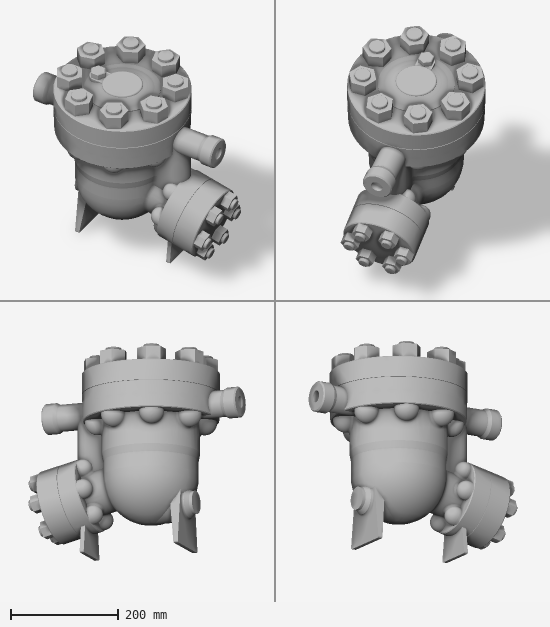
import cadquery as cq
import math

stud_top_z = 371.0
nut_top_z = 364.5
cover_top_z = 338.5
cover_joint_z = 298.0
flange_bottom_z = 247.0
neck_bottom_z = 185.0
barrel_top_z = 170.7
nozzle_z = 269.5
drain_z = 85.0

flange_radius = 129.0
flange_bottom_radius = 127.5
neck_radius = 91.8
barrel_radius = 89.0
bowl_bottom_z = 50.5
bowl_top_z = 143.5
bowl_depth = bowl_top_z - bowl_bottom_z
body_blend = 6.0
bowl_radius = (barrel_radius**2 + bowl_depth**2) / (2 * bowl_depth)
flange_overlap = 3.7
edge_chamfer = 1.5
joint_gap = 1.2
joint_depth = 1.5

bolt_count = 8
bolt_circle_radius = 100.0
first_bolt_angle = 180 / bolt_count
nut_across_flats = 46.7
stud_diameter = 30.0
stud_chamfer = 1.2
bolt_boss_radius = 23.0
bolt_boss_straight = 2.0
chamfered_nut_index = 4
chamfered_nut_face_diameter = 48.8
boss_blend = 3.7

crown_step_radius = 72.0
crown_step_height = 1.5
crown_foot_radius = 59.5
crown_foot_height = 2.5
crown_shoulder_radius = 48.0
crown_shoulder_height = 5.5
crown_top_radius = 35.0
crown_top_height = 11.5
crown_top_fillet = 3.5
plug_x = -53.0
plug_pad_radius = 16.5
plug_pad_height = 9.5
plug_across_flats = 26.5
plug_top_z = 360.0
plug_chamfer = 1.2

pipe_radius = 25.2
nozzle_end_radius = 29.0
inlet_end_x = -180.0
outlet_end_x = 210.0
nozzle_collar_length = 23.0
nozzle_cone_length = 7.0
nozzle_chamfer = 2.5
bore_diameter = 22.5
bore_depth = 49.5
riser_x = 120.3

side_dip = 12.7
side_axis_z = 144.0
side_neck_radius = 43.0
side_flange_radius = 71.0
side_flange_start = 123.5
side_joint = 160.5
side_face = 203.8
side_bolt_count = 6
side_first_bolt_angle = 90
side_bolt_circle_radius = 52.5
side_nut_across_flats = 30.5
side_nut_height = 17.0
side_stud_diameter = 21.0
side_stud_length = 23.0
side_boss_radius = 18.0
side_boss_straight = 5.0
side_boss_core_length = 33.0
side_seam_start_x = 62.0

drain_end_x = -91.0
drain_face_radius = 22.0
drain_straight_x = -84.7
drain_cone_radius = 28.5
drain_root_radius = 32.2
drain_hub_radius = 34.5

foot_taper = 15.0
left_foot_half_width = 49.5
right_foot_half_width = 39.5
foot_top_z = 108.5
foot_corner_radius = 3.5
left_foot_x = -73.5
left_foot_bottom_thickness = 8.5
left_foot_slope_z = 77.0
left_foot_top_thickness = 19.0
right_foot_x = 119.5
right_foot_thickness = 8.3


def x_cylinder(radius, start_x, end_x, z):
    """Cylinder along X."""
    plane = cq.Workplane("YZ", origin=(start_x, 0, z))
    return plane.circle(radius).extrude(end_x - start_x)


def hex_nut(across_flats, height, vertex_angle=0.0):
    """Hexagonal prism on the XY plane, with one corner at vertex_angle degrees."""
    across_corners = across_flats / math.cos(math.pi / 6)
    prism = cq.Workplane("XY").polygon(6, across_corners).extrude(height)
    return prism.rotate((0, 0, 0), (0, 0, 1), vertex_angle)


def stud(diameter, height):
    """Round stud end with a chamfered tip."""
    rod = cq.Workplane("XY").circle(diameter / 2).extrude(height)
    return rod.faces(">Z").edges().chamfer(stud_chamfer)


def bolt_boss(radius, straight):
    """Round-ended boss hanging below the XY plane and reaching above it by flange_overlap."""
    low_mid = radius * math.sqrt(0.5)
    return (
        cq.Workplane("XZ")
        .moveTo(0, flange_overlap)
        .lineTo(radius, flange_overlap)
        .lineTo(radius, -straight)
        .threePointArc((low_mid, -straight - low_mid), (0, -straight - radius))
        .close()
        .revolve(360, (0, 0, 0), (0, 1, 0))
    )


def boss_ring(core_radius, core_length, boss, circle_radius, count, first_angle):
    """Ring of bosses blended into a round core below the XY plane."""
    core = cq.Workplane("XY").workplane(offset=-core_length)
    ring = core.circle(core_radius).extrude(core_length + flange_overlap)
    for placed_boss in polar_copies(boss, circle_radius, count, first_angle):
        ring = ring.union(placed_boss)
    tolerance = 0.05
    seams = []
    for edge in ring.edges().vals():
        points = [edge.positionAt(step / 4) for step in range(5)]
        on_core = all(abs(math.hypot(p.x, p.y) - core_radius) < tolerance for p in points)
        lowest = edge.BoundingBox().zmin
        if on_core and tolerance - core_length < lowest < -tolerance:
            seams.append(edge)
    return ring.newObject([ring.val().fillet(boss_blend, seams)])


def polar_copies(item, circle_radius, count, first_angle):
    """Copies of an item spread evenly round Z."""
    moved = item.translate((circle_radius, 0, 0))
    return [moved.rotate((0, 0, 0), (0, 0, 1), first_angle + i * 360 / count) for i in range(count)]


def main_body():
    """Revolved cover, tapered body flange, neck, barrel and round bowl."""
    groove_radius = flange_radius - joint_depth
    bowl_mid = bowl_radius * math.sqrt(0.5)
    return (
        cq.Workplane("XZ")
        .moveTo(0, cover_top_z)
        .lineTo(flange_radius - edge_chamfer, cover_top_z)
        .lineTo(flange_radius, cover_top_z - edge_chamfer)
        .lineTo(flange_radius, cover_joint_z + joint_gap / 2)
        .lineTo(groove_radius, cover_joint_z + joint_gap / 2)
        .lineTo(groove_radius, cover_joint_z - joint_gap / 2)
        .lineTo(flange_radius, cover_joint_z - joint_gap / 2)
        .lineTo(flange_bottom_radius, flange_bottom_z + edge_chamfer)
        .lineTo(flange_bottom_radius - edge_chamfer, flange_bottom_z)
        .lineTo(neck_radius, flange_bottom_z)
        .lineTo(neck_radius, neck_bottom_z)
        .lineTo(barrel_radius, barrel_top_z)
        .lineTo(barrel_radius, bowl_top_z)
        .threePointArc((bowl_mid, bowl_bottom_z + bowl_radius - bowl_mid), (0, bowl_bottom_z))
        .close()
        .revolve(360, (0, 0, 0), (0, 1, 0))
    )


def crown():
    """Raised centre of the cover, with a padded hexagonal plug beside it."""
    dome = (
        cq.Workplane("XZ")
        .moveTo(0, -edge_chamfer)
        .lineTo(crown_step_radius, -edge_chamfer)
        .lineTo(crown_step_radius, crown_step_height)
        .lineTo(crown_foot_radius, crown_foot_height)
        .lineTo(crown_shoulder_radius, crown_shoulder_height)
        .lineTo(crown_top_radius + crown_top_fillet, crown_top_height - crown_top_fillet)
        .radiusArc((crown_top_radius, crown_top_height), -crown_top_fillet)
        .lineTo(0, crown_top_height)
        .close()
        .revolve(360, (0, 0, 0), (0, 1, 0))
        .translate((0, 0, cover_top_z))
    )
    pad_round = cq.Workplane("XY").center(plug_x, 0).circle(plug_pad_radius).extrude(plug_pad_height)
    pad_bar = (
        cq.Workplane("XY").center(plug_x / 2, 0)
        .rect(-plug_x, 2 * plug_pad_radius).extrude(plug_pad_height)
    )
    pad = pad_round.union(pad_bar).translate((0, 0, cover_top_z))
    plug = hex_nut(plug_across_flats, plug_top_z - cover_top_z).faces(">Z").edges().chamfer(plug_chamfer)
    return dome.union(pad).union(plug.translate((plug_x, 0, cover_top_z)))


def main_bolting():
    """Nuts and stud ends on the cover, with round bosses under the body flange."""
    nut_height = nut_top_z - cover_top_z
    nut = hex_nut(nut_across_flats, nut_height, -first_bolt_angle)
    rod = stud(stud_diameter, stud_top_z - cover_top_z)
    corner_radius = nut_across_flats / math.sqrt(3)
    corner_reach = corner_radius - chamfered_nut_face_diameter / 2
    corner_limit = (
        cq.Workplane("XY").circle(corner_radius).extrude(nut_height)
        .faces(">Z").edges().chamfer(corner_reach / 2, corner_reach)
    )
    fasteners = polar_copies(nut.union(rod), bolt_circle_radius, bolt_count, first_bolt_angle)
    chamfered = polar_copies(
        nut.intersect(corner_limit).union(rod), bolt_circle_radius, bolt_count, first_bolt_angle)
    fasteners[chamfered_nut_index] = chamfered[chamfered_nut_index]
    bolting = boss_ring(
        neck_radius, flange_bottom_z - neck_bottom_z, bolt_boss(bolt_boss_radius, bolt_boss_straight),
        bolt_circle_radius, bolt_count, first_bolt_angle
    ).translate((0, 0, flange_bottom_z))
    for fastener in fasteners:
        bolting = bolting.add(fastener.translate((0, 0, cover_top_z)))
    return bolting.combine()


def nozzle(length):
    """Pipe along +X from the body axis, ending in a thicker collar."""
    collar_start = length - nozzle_collar_length
    return (
        cq.Workplane("XY")
        .lineTo(length, 0)
        .lineTo(length, nozzle_end_radius - nozzle_chamfer)
        .lineTo(length - nozzle_chamfer, nozzle_end_radius)
        .lineTo(collar_start, nozzle_end_radius)
        .lineTo(collar_start - nozzle_cone_length, pipe_radius)
        .lineTo(0, pipe_radius)
        .close()
        .revolve(360, (0, 0, 0), (1, 0, 0))
        .translate((0, 0, nozzle_z))
    )


def riser():
    """Round-edged upright passage from the side neck to the outlet nozzle."""
    height = nozzle_z - side_axis_z
    base = cq.Workplane("XY", origin=(0, 0, side_axis_z))
    web = base.center(riser_x / 2, 0).rect(riser_x, 2 * pipe_radius).extrude(height)
    edge = base.center(riser_x, 0).circle(pipe_radius).extrude(height)
    elbow = cq.Workplane("XY").sphere(pipe_radius).translate((riser_x, 0, nozzle_z))
    return web.union(edge).union(elbow)


def tip_to_side(item):
    """Turn an item built along +Z onto the dipping side axis."""
    return item.rotate((0, 0, 0), (0, 1, 0), 90 + side_dip).translate((0, 0, side_axis_z))


def blended_body():
    """Main body, riser and side neck, with blends where they meet below the flange."""
    side_neck = cq.Workplane("XY").circle(side_neck_radius).extrude(side_flange_start)
    body = main_body().union(tip_to_side(side_neck)).union(riser())
    seams = []
    for edge in body.edges().vals():
        centre = edge.Center()
        beside_barrel = side_seam_start_x < centre.x < neck_radius + body_blend
        if beside_barrel and centre.z < flange_bottom_z and edge.geomType() != "CIRCLE":
            seams.append(edge)
    return body.newObject([body.val().fillet(body_blend, seams)])


def side_cover():
    """Flange pair, bosses and bolting, built along +Z and then tipped onto the dipping axis."""
    flange_length = side_face - side_flange_start
    flanges = (
        cq.Workplane("XY").workplane(offset=side_flange_start)
        .circle(side_flange_radius).extrude(flange_length)
        .edges().chamfer(edge_chamfer)
    )
    groove = (
        cq.Workplane("XY").workplane(offset=side_joint - joint_gap / 2)
        .circle(side_flange_radius).circle(side_flange_radius - joint_depth).extrude(joint_gap)
    )
    bosses = boss_ring(
        side_neck_radius, side_boss_core_length, bolt_boss(side_boss_radius, side_boss_straight),
        side_bolt_circle_radius, side_bolt_count, side_first_bolt_angle
    ).translate((0, 0, side_flange_start))
    assembly = flanges.cut(groove).union(bosses)
    nut = hex_nut(side_nut_across_flats, side_nut_height)
    fastener = nut.union(stud(side_stud_diameter, side_stud_length)).translate((0, 0, side_face))
    for placed_fastener in polar_copies(
            fastener, side_bolt_circle_radius, side_bolt_count, side_first_bolt_angle):
        assembly = assembly.union(placed_fastener)
    return tip_to_side(assembly)


def drain():
    """Drain boss flaring into the left foot, and its hub running under the bowl."""
    flare = drain_root_radius - drain_cone_radius
    flare_start_x = left_foot_x - flare
    flare_run = flare * math.sqrt(0.5)
    boss = (
        cq.Workplane("XY")
        .moveTo(drain_end_x, 0)
        .lineTo(drain_end_x, drain_face_radius)
        .lineTo(drain_straight_x, drain_face_radius)
        .lineTo(flare_start_x, drain_cone_radius)
        .threePointArc(
            (flare_start_x + flare_run, drain_root_radius - flare_run),
            (left_foot_x, drain_root_radius))
        .lineTo(0, drain_root_radius)
        .lineTo(0, 0)
        .close()
        .revolve(360, (0, 0, 0), (1, 0, 0))
        .translate((0, 0, drain_z))
    )
    return boss.union(x_cylinder(drain_hub_radius, left_foot_x, 0, drain_z))


def foot_plate(start_x, thickness, half_width):
    """Plate square to X that narrows upward, with rounded bottom corners."""
    plate = (
        cq.Workplane("YZ", origin=(start_x, 0, 0))
        .moveTo(-half_width, 0)
        .lineTo(half_width, 0)
        .lineTo(half_width - foot_taper, foot_top_z)
        .lineTo(foot_taper - half_width, foot_top_z)
        .close()
        .extrude(thickness)
    )
    return plate.edges("|X").edges("<Z").fillet(foot_corner_radius)


def feet():
    """Wedge-shaped left foot and flat right foot."""
    left_plate = foot_plate(left_foot_x, left_foot_top_thickness, left_foot_half_width)
    wedge = (
        cq.Workplane("XZ")
        .moveTo(left_foot_x, 0)
        .lineTo(left_foot_x + left_foot_bottom_thickness, 0)
        .lineTo(left_foot_x + left_foot_top_thickness, left_foot_slope_z)
        .lineTo(left_foot_x, foot_top_z)
        .close()
        .extrude(left_foot_half_width, both=True)
    )
    right_plate = foot_plate(right_foot_x, right_foot_thickness, right_foot_half_width)
    return left_plate.intersect(wedge).union(right_plate)


def bore(end_x, direction):
    """Blind bore going in from a nozzle end face."""
    return x_cylinder(bore_diameter / 2, end_x, end_x + direction * bore_depth, nozzle_z)


inlet = nozzle(-inlet_end_x).rotate((0, 0, 0), (0, 0, 1), 180)
outlet = nozzle(outlet_end_x)

result = blended_body()
for feature in (main_bolting(), crown(), inlet, outlet, side_cover(), drain(), feet()):
    result = result.union(feature)
result = result.cut(bore(inlet_end_x, 1)).cut(bore(outlet_end_x, -1))